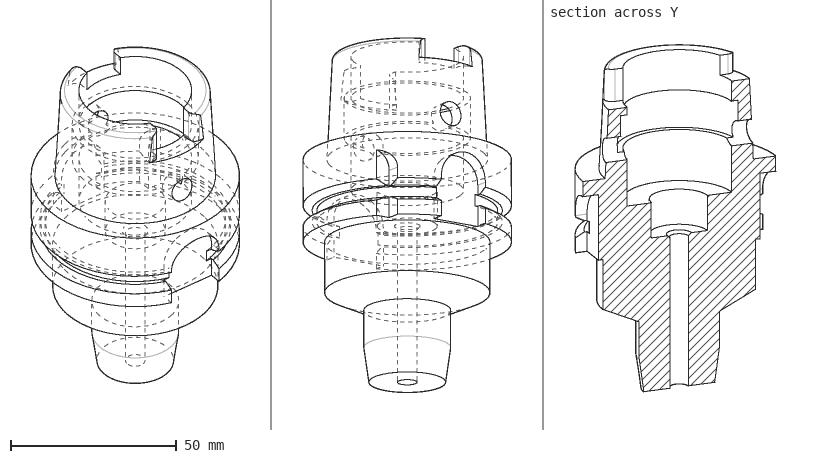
import cadquery as cq

total_height = 102
nose_taper_top = 10.8
nose_top = 22.5
body_bottom = 28.0
flange_bottom = 44.0
flange_top = 69.9
groove_bottom = 50.3
groove_top = 53.9
groove_chamfer_height = 1.5

nose_tip_radius = 11.6
nose_radius = 13.2
body_radius = 25.0
flange_radius = 31.5
groove_radius = 27.3
groove_rim_radius = 28.8
taper_base_radius = 24.3
taper_top_radius = 22.6
rim_fillet = 1.3

mouth_radius = 17.0
mouth_bottom = 89.1
undercut_radius = 19.1
undercut_bottom = 76.5
cavity_bottom = 60.2
well_radius = 9.1
well_bottom = 49
coolant_radius = 3.0
coolant_chamfer = 0.9

rim_slot_half_width = 6.3
rim_slot_corner_radius = 2.3
rim_slot_face = 20.8
left_rim_slot_floor = 95.7
right_rim_slot_floor = 91.7

cross_hole_height = 78.7
cross_hole_radius = 3.8

keyway_floor = 26.4
keyway_top = 64.9
left_keyway_half_width = 8.0
right_keyway_half_width = 9.0

notch_wall = 19.9
notch_top = 64.7
notch_end_radius = 5.9


def make_body():
    profile = [
        (0, 0),
        (nose_tip_radius, 0),
        (nose_radius, nose_taper_top),
        (nose_radius, nose_top),
        (body_radius, body_bottom),
        (body_radius, flange_bottom),
        (flange_radius, flange_bottom),
        (flange_radius, groove_bottom - groove_chamfer_height),
        (groove_rim_radius, groove_bottom),
        (groove_radius, groove_bottom),
        (groove_radius, groove_top),
        (groove_rim_radius, groove_top),
        (flange_radius, groove_top + groove_chamfer_height),
        (flange_radius, flange_top),
        (taper_base_radius, flange_top),
        (taper_top_radius, total_height),
        (0, total_height),
    ]
    body = cq.Workplane("XZ").polyline(profile).close().revolve(360, (0, 0), (0, 1))
    return body.faces(">Z").edges().fillet(rim_fillet)


def make_bore():
    profile = [
        (0, 0),
        (coolant_radius, 0),
        (coolant_radius, well_bottom - coolant_chamfer),
        (coolant_radius + coolant_chamfer, well_bottom),
        (well_radius, well_bottom),
        (well_radius, cavity_bottom),
        (mouth_radius, cavity_bottom),
        (mouth_radius, undercut_bottom),
        (undercut_radius, undercut_bottom),
        (undercut_radius, mouth_bottom),
        (mouth_radius, mouth_bottom),
        (mouth_radius, total_height),
        (0, total_height),
    ]
    return cq.Workplane("XZ").polyline(profile).close().revolve(360, (0, 0), (0, 1))


def make_rim_slot(side, floor):
    """Slot through the rim with rounded mouth corners and a flat face across the rim ends."""
    slot_depth = total_height - floor
    corner_start_x = rim_slot_face - rim_slot_corner_radius
    corner_end_y = rim_slot_half_width + rim_slot_corner_radius
    slot = (
        cq.Workplane("XY", origin=(0, 0, floor))
        .moveTo(0, -rim_slot_half_width)
        .lineTo(corner_start_x, -rim_slot_half_width)
        .tangentArcPoint((rim_slot_face, -corner_end_y), relative=False)
        .lineTo(rim_slot_face, -taper_base_radius)
        .lineTo(taper_base_radius, -taper_base_radius)
        .lineTo(taper_base_radius, taper_base_radius)
        .lineTo(rim_slot_face, taper_base_radius)
        .lineTo(rim_slot_face, corner_end_y)
        .radiusArc((corner_start_x, rim_slot_half_width), rim_slot_corner_radius)
        .lineTo(0, rim_slot_half_width)
        .close()
        .extrude(slot_depth)
    )
    return slot if side > 0 else slot.mirror("YZ")


def make_keyway(side, half_width):
    """Round-topped flat keyway, open at the underside of the flange."""
    arc_center = keyway_top - half_width
    return (
        cq.Workplane("YZ", origin=(side * keyway_floor, 0, 0))
        .moveTo(-half_width, flange_bottom)
        .lineTo(-half_width, arc_center)
        .threePointArc((0, keyway_top), (half_width, arc_center))
        .lineTo(half_width, flange_bottom)
        .close()
        .extrude(side * (flange_radius - keyway_floor))
    )


def make_orientation_notch():
    """Right-angled notch at the -X, +Y diagonal, with a rounded upper end."""
    arc_center_y = notch_wall + notch_end_radius
    arc_center_z = notch_top - notch_end_radius
    return (
        cq.Workplane("YZ", origin=(-notch_wall, 0, 0))
        .moveTo(notch_wall, flange_bottom)
        .lineTo(notch_wall, arc_center_z)
        .tangentArcPoint((arc_center_y, notch_top), relative=False)
        .lineTo(arc_center_y, flange_bottom)
        .close()
        .extrude(notch_wall - flange_radius)
    )


cross_hole = (
    cq.Workplane("YZ", origin=(-flange_radius, 0, cross_hole_height))
    .circle(cross_hole_radius)
    .extrude(2 * flange_radius)
)

result = (
    make_body()
    .cut(make_bore())
    .cut(make_rim_slot(-1, left_rim_slot_floor))
    .cut(make_rim_slot(1, right_rim_slot_floor))
    .cut(cross_hole)
    .cut(make_keyway(-1, left_keyway_half_width))
    .cut(make_keyway(1, right_keyway_half_width))
    .cut(make_orientation_notch())
)